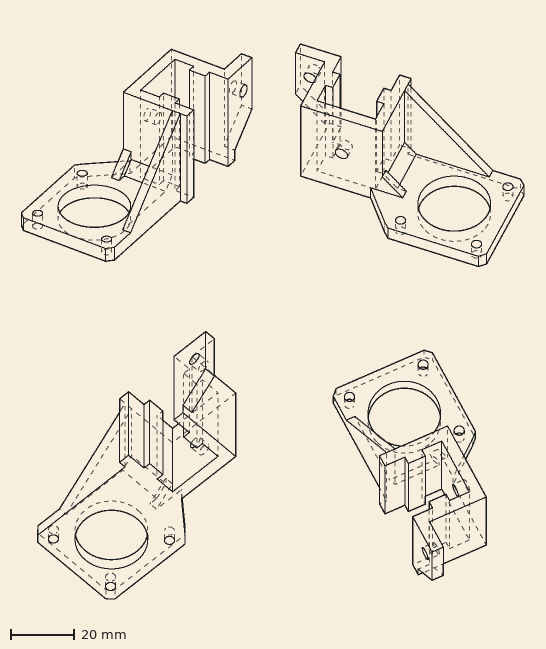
import cadquery as cq

PLATE_SIDE = 35.0
PLATE_THICKNESS = 5.0
CORNER_CHAMFER = 2.0
SHAFT_OPENING_DIAMETER = 23.0
MOTOR_HOLE_SPACING = 26.0
MOTOR_HOLE_DIAMETER = 3.2

HEIGHT = 34.0
WALL = 4.0
CLAMP_LEFT = -4.0
CLAMP_WIDTH = 24.0
CHANNEL_OPENING = 20.0
CLAMP_FRONT = 23.0
KEY_WIDTH = 6.0
KEY_HEIGHT = 2.5
KEY_OFFSET = 7.0
SCREW_DIAMETER = 4.2

TAB_LENGTH = 10.0
TAB_SLOPE = TAB_LENGTH
TAB_OUTER_BOTTOM = 14.0
TAB_HOLE_HEIGHT = 24.0

RIB_THICKNESS = 3.0
SMALL_RIB_LEG = 7.0
CORNER_WEDGE_LEG = 4.0

PLATE_HALF = PLATE_SIDE / 2
CLAMP_RIGHT = CLAMP_LEFT + CLAMP_WIDTH
CHANNEL_LEFT = CLAMP_LEFT + WALL
CHANNEL_FRONT = CLAMP_FRONT + WALL
CHANNEL_BACK = CHANNEL_FRONT + CHANNEL_OPENING
CLAMP_BACK = CHANNEL_BACK + WALL
CLAMP_MIDDLE = (CLAMP_FRONT + CLAMP_BACK) / 2
LARGE_RIB_LEG = HEIGHT - PLATE_THICKNESS


def box(x_min, x_max, y_min, y_max, height):
    """Upright block standing on the base plane."""
    block = cq.Workplane("XY").box(x_max - x_min, y_max - y_min, height, centered=False)
    return block.translate((x_min, y_min, 0))


def extrude_along_x(profile, x_min, thickness):
    """Closed profile of (y, z) points, extruded towards +X from x_min."""
    return cq.Workplane("YZ", origin=(x_min, 0, 0)).polyline(profile).close().extrude(thickness)


def motor_plate():
    """Plate with chamfered corners, widened up to the front wall of the clamp."""
    chamfer_start = PLATE_HALF - CORNER_CHAMFER
    outline = [
        (-chamfer_start, -PLATE_HALF),
        (chamfer_start, -PLATE_HALF),
        (PLATE_HALF, -chamfer_start),
        (PLATE_HALF, CHANNEL_FRONT),
        (CLAMP_LEFT, CHANNEL_FRONT),
        (-chamfer_start, PLATE_HALF),
        (-PLATE_HALF, chamfer_start),
        (-PLATE_HALF, -chamfer_start),
    ]
    return cq.Workplane("XY").polyline(outline).close().extrude(PLATE_THICKNESS)


def motor_cuts():
    """Central opening and the three motor screw holes; the fourth corner carries the large rib."""
    offset = MOTOR_HOLE_SPACING / 2
    hole_centres = [(-offset, -offset), (offset, -offset), (-offset, offset)]
    opening = cq.Workplane("XY").circle(SHAFT_OPENING_DIAMETER / 2).extrude(PLATE_THICKNESS)
    hole_outlines = cq.Workplane("XY").pushPoints(hole_centres).circle(MOTOR_HOLE_DIAMETER / 2)
    holes = hole_outlines.extrude(PLATE_THICKNESS)
    return opening.union(holes)


def clamp():
    """C-shaped channel with one key on each inner side face."""
    body = box(CLAMP_LEFT, CLAMP_RIGHT, CLAMP_FRONT, CLAMP_BACK, HEIGHT)
    body = body.cut(box(CHANNEL_LEFT, CLAMP_RIGHT, CHANNEL_FRONT, CHANNEL_BACK, HEIGHT))
    key_left = CHANNEL_LEFT + KEY_OFFSET
    key_right = key_left + KEY_WIDTH
    body = body.union(box(key_left, key_right, CLAMP_FRONT, CHANNEL_FRONT + KEY_HEIGHT, HEIGHT))
    return body.union(box(key_left, key_right, CHANNEL_BACK - KEY_HEIGHT, CLAMP_BACK, HEIGHT))


def tab():
    """Tab behind the clamp, with its lower edge sloping up towards the free end."""
    tab_end = CLAMP_BACK + TAB_LENGTH
    profile = [
        (CLAMP_BACK, TAB_OUTER_BOTTOM - TAB_SLOPE),
        (tab_end, TAB_OUTER_BOTTOM),
        (tab_end, HEIGHT),
        (CLAMP_BACK, HEIGHT),
    ]
    return extrude_along_x(profile, CLAMP_RIGHT - WALL, WALL)


def corner_brace(leg, x_min, thickness):
    """45 degree triangle in the corner between the plate and the clamp's front wall."""
    profile = [
        (CLAMP_FRONT, PLATE_THICKNESS),
        (CLAMP_FRONT, PLATE_THICKNESS + leg),
        (CLAMP_FRONT - leg, PLATE_THICKNESS),
    ]
    return extrude_along_x(profile, x_min, thickness)


def screw_hole(x_min, y, z):
    """Hole along X through one wall thickness."""
    return cq.Workplane("YZ", origin=(x_min, y, z)).circle(SCREW_DIAMETER / 2).extrude(WALL)


result = motor_plate().cut(motor_cuts())
result = result.union(clamp()).union(tab())
result = result.union(corner_brace(CORNER_WEDGE_LEG, CLAMP_LEFT, PLATE_HALF - CLAMP_LEFT))
result = result.union(corner_brace(SMALL_RIB_LEG, CLAMP_LEFT, RIB_THICKNESS))
result = result.union(corner_brace(LARGE_RIB_LEG, PLATE_HALF - RIB_THICKNESS, RIB_THICKNESS))
result = result.cut(screw_hole(CLAMP_LEFT, CLAMP_MIDDLE, HEIGHT / 2))
result = result.cut(screw_hole(CLAMP_RIGHT - WALL, CLAMP_BACK + TAB_LENGTH / 2, TAB_HOLE_HEIGHT))